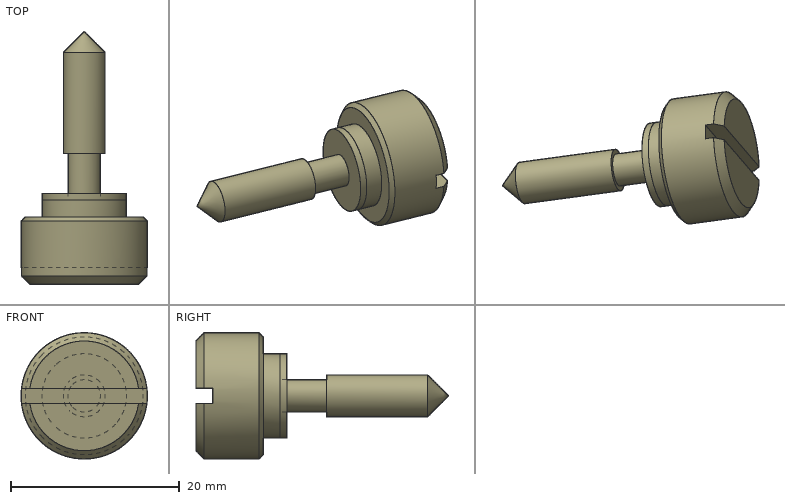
import cadquery as cq

total_length = 30.0

head_radius = 7.5
head_length = 8.0
front_chamfer = 1.0
back_chamfer = 0.5
slot_width = 1.77
slot_depth = 2.0

collar_radius = 5.0
collar_length = 1.98
washer_thickness = 0.8

neck_radius = 1.92
shank_radius = 2.5
shank_start = 15.5
tip_length = shank_radius

collar_end = head_length + collar_length
shank_end = total_length - tip_length


def make_screw():
    """Revolved head, collar, neck and pointed shank, with a driver slot across the head."""
    profile = [
        (0, 0),
        (head_radius - front_chamfer, 0),
        (head_radius, front_chamfer),
        (head_radius, head_length - back_chamfer),
        (head_radius - back_chamfer, head_length),
        (collar_radius, head_length),
        (collar_radius, collar_end),
        (neck_radius, collar_end),
        (neck_radius, shank_start),
        (shank_radius, shank_start),
        (shank_radius, shank_end),
        (0, total_length),
    ]
    body = cq.Workplane("XY").polyline(profile).close().revolve(360, (0, 0, 0), (0, 1, 0))
    slot = cq.Workplane("XY").box(
        2 * head_radius, slot_depth, slot_width, centered=(True, False, True)
    )
    return body.cut(slot)


def make_washer():
    """Flat ring around the neck, as wide as the collar."""
    return (
        cq.Workplane("XZ", origin=(0, collar_end, 0))
        .circle(collar_radius)
        .circle(neck_radius)
        .extrude(-washer_thickness)
    )


screw = make_screw()
washer = make_washer()

result = cq.Compound.makeCompound([screw.val(), washer.val()])